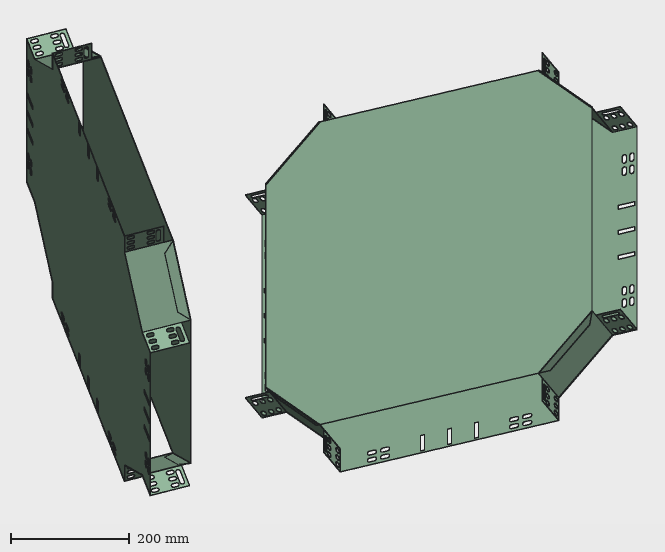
import cadquery as cq
import math

span = 691.0
depth = 86.5
arm_width = 404.0
tab_length = 45.0
tab_height = 70.0
sheet = 1.05

lip_height = 19.5
lip_end_slope = 19.0

slot_width = 7.5

joint_slot_length = 16.5
joint_slot_offsets = (119.0, 143.0)
joint_slot_insets = (10.0, 23.5)
long_slot_length = 30.5
long_slot_pitch = 50.0
long_slot_inset = 19.5

tab_slot_length = 13.0
tab_slot_insets = (8.0, 22.0, 36.0)
tab_slot_heights = (12.0, 47.0)
tab_long_slot_length = 31.0
tab_long_slot_height = 60.0

half_span = span / 2
half_arm = arm_width / 2
corner = half_span - tab_length
base_y = -depth / 2
cover_y = depth / 2
wall_height = depth - sheet
wall_length = math.sqrt(2) * (corner - half_arm)
wall_distance = (corner + half_arm) / math.sqrt(2)
mitre = sheet * math.tan(math.radians(22.5))
quarter_turns = (0, 90, 180, 270)


def turned(shape, angle):
    """Turn a shape about the Y axis through the middle of the part."""
    return shape.rotate((0, 0, 0), (0, 1, 0), angle)


def block(x_range, y_range, z_range):
    """Box between the given limits."""
    (x0, x1), (y0, y1), (z0, z1) = x_range, y_range, z_range
    return cq.Workplane("XY").box(x1 - x0, y1 - y0, z1 - z0, centered=False).translate((x0, y0, z0))


def octagon(reach, half_side, y_start):
    """Sheet with four straight sides and four corners cut at 45 degrees."""
    points = [
        (half_side, reach), (reach, half_side), (reach, -half_side), (half_side, -reach),
        (-half_side, -reach), (-reach, -half_side), (-reach, half_side), (-half_side, reach),
    ]
    return cq.Workplane("XZ", origin=(0, y_start, 0)).polyline(points).close().extrude(-sheet)


def arm_slots():
    """Cutters for the slots through the base in the +Z arm."""
    plane = cq.Workplane("XZ", origin=(0, base_y, 0))
    joint_places = [
        (side * offset, half_span - inset)
        for side in (-1, 1) for offset in joint_slot_offsets for inset in joint_slot_insets
    ]
    long_places = [(step * long_slot_pitch, half_span - long_slot_inset) for step in (-1, 0, 1)]
    joints = plane.pushPoints(joint_places).slot2D(joint_slot_length, slot_width).extrude(-sheet)
    longs = plane.pushPoints(long_places).rect(slot_width, long_slot_length).extrude(-sheet)
    return joints.add(longs)


def arm_tabs():
    """The two slotted side tabs of the +Z arm, rooted in the ends of the corner walls."""
    tab_z = (corner - mitre, half_span)
    tab_inside = half_arm - sheet
    tabs = block((-half_arm, half_arm), (base_y, base_y + tab_height), tab_z)
    tabs = tabs.cut(block((-tab_inside, tab_inside), (base_y, cover_y), tab_z))
    plane = cq.Workplane("YZ", origin=(-half_arm, 0, 0))
    places = [
        (base_y + height, half_span - inset)
        for height in tab_slot_heights for inset in tab_slot_insets
    ]
    long_place = [(base_y + tab_long_slot_height, half_span - tab_slot_insets[1])]
    slots = plane.pushPoints(places).slot2D(tab_slot_length, slot_width).extrude(arm_width)
    long_slot = plane.pushPoints(long_place).slot2D(tab_long_slot_length, slot_width, 90).extrude(arm_width)
    return tabs.cut(slots).cut(long_slot)


def corner_wall():
    """Upright wall along the 45 degree edge between two arms, mitred to meet the tabs."""
    half_outer = wall_length / 2
    half_inner = half_outer + mitre
    inner = wall_distance - sheet
    wall = (
        cq.Workplane("XZ", origin=(0, base_y, 0))
        .polyline([
            (-half_outer, wall_distance), (half_outer, wall_distance), (half_inner, inner), (-half_inner, inner),
        ])
        .close().extrude(-wall_height)
    )
    return turned(wall, 45)


def cover_lip():
    """Lip bent down over the outside of a corner wall, narrowing away from the cover."""
    half_top = wall_length / 2
    half_bottom = half_top - lip_end_slope
    lip_y = cover_y - lip_height
    lip = (
        cq.Workplane("XY", origin=(0, 0, wall_distance))
        .polyline([(-half_top, cover_y), (half_top, cover_y), (half_bottom, lip_y), (-half_bottom, lip_y)])
        .close().extrude(sheet)
    )
    return turned(lip, 45)


def make_base():
    """Cross-shaped base sheet with slotted arms, side tabs and corner walls."""
    base = octagon(corner, half_arm, base_y)
    arm = block((-half_arm, half_arm), (base_y, base_y + sheet), (0, half_span))
    for angle in quarter_turns:
        base = base.union(turned(arm, angle))
        base = base.union(turned(arm_tabs(), angle))
        base = base.union(turned(corner_wall(), angle))
    for angle in quarter_turns:
        for slot in arm_slots().vals():
            base = base.cut(turned(cq.Workplane(slot), angle))
    return base


def make_cover():
    """Octagonal cover sheet resting on the walls, with a lip over each of them."""
    cover = octagon(corner, half_arm, cover_y - sheet)
    for angle in quarter_turns:
        cover = cover.union(turned(cover_lip(), angle))
    return cover


base = make_base()
cover = make_cover()
result = cq.Compound.makeCompound([base.solids().val(), cover.solids().val()])